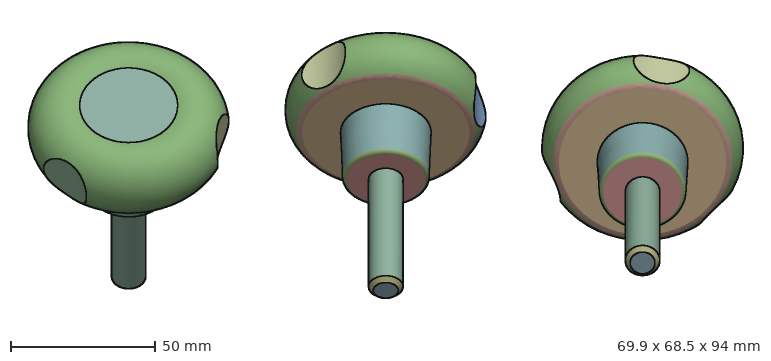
import cadquery as cq
import math

total_height = 94.0
stud_length = 50.0
stud_diameter = 12.0
stud_chamfer = 1.7

head_diameter = 69.9
head_height = 23.0
rim_section_radius = 13.0
dish_diameter = 34.0
head_bottom_fillet = 3.0

collar_top_diameter = 31.5
collar_bottom_diameter = 30.1
collar_edge_fillet = 1.4

scallop_count = 3
scallop_diameter = 50.0
scallop_depth = 3.5
first_scallop_angle = -90.0

collar_bottom = stud_length
head_bottom = total_height - head_height
head_radius = head_diameter / 2
rim_centre_radius = head_radius - rim_section_radius
rim_centre_height = total_height - rim_section_radius
dish_radius = dish_diameter / 2


def rim_section_reach(offset):
    """Distance from the rim section's centre line to its circle at a given offset along that line."""
    return math.sqrt(rim_section_radius**2 - offset**2)


def make_head():
    dish_height = rim_centre_height + rim_section_reach(dish_radius - rim_centre_radius)
    bottom_drop = rim_centre_height - head_bottom
    bottom_radius = rim_centre_radius + rim_section_reach(bottom_drop)
    head = (
        cq.Workplane("XZ")
        .moveTo(0, head_bottom)
        .lineTo(0, dish_height)
        .lineTo(dish_radius, dish_height)
        .threePointArc((head_radius, rim_centre_height), (bottom_radius, head_bottom))
        .close()
        .revolve(360, (0, 0), (0, 1))
    )
    return head.faces("<Z").edges().fillet(head_bottom_fillet)


def cut_scallops(head):
    axis_distance = head_radius - scallop_depth + scallop_diameter / 2
    cutters = (
        cq.Workplane("XY", origin=(0, 0, head_bottom))
        .polarArray(axis_distance, first_scallop_angle, 360, scallop_count)
        .circle(scallop_diameter / 2)
        .extrude(head_height)
    )
    return head.cut(cutters)


def make_collar():
    collar = (
        cq.Workplane("XY", origin=(0, 0, collar_bottom))
        .circle(collar_bottom_diameter / 2)
        .workplane(offset=head_bottom - collar_bottom)
        .circle(collar_top_diameter / 2)
        .loft()
    )
    return collar.faces("<Z").edges().fillet(collar_edge_fillet)


def make_stud():
    stud = cq.Workplane("XY").circle(stud_diameter / 2).extrude(stud_length)
    return stud.faces("<Z").edges().chamfer(stud_chamfer)


head = cut_scallops(make_head())
result = head.union(make_collar()).union(make_stud())